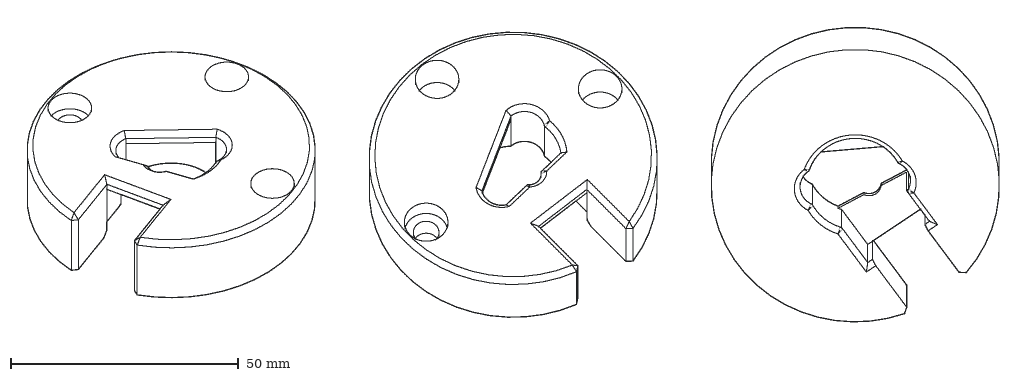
import cadquery as cq
import math

DISC_RADIUS = 31.6
HEIGHT = 16.2
CHAMFER = 1.25

SLOT_WIDTH = 14.05
SLOT_END_Y = -16.5

BORE_DIAMETER = 9.55
BORE_CENTRE_RADIUS = 25.35
SHALLOW_BORE_DEPTH = 4.7
DEEP_BORE_DEPTH = 10.1
PILOT_DIAMETER = 5.6

CAVITY_RADIUS = 10.55
CAVITY_ROOF_Z = 13.4
PASSAGE_WIDTH = SLOT_WIDTH + 2 * CHAMFER
LOBE_RADIUS = 4.4
LOBE_CENTRE_RADIUS = 7.7
LOBE_ANGLE = 30.0
UPPER_EDGE_OFFSET = 3.85
LOWER_EDGE_OFFSET = 6.8
LOWER_EDGE_ANGLE = 6.0
NOTCH_RADIUS = 2.65
NOTCH_CENTRE_Y = -5.25


def cylinder(x, y, radius, height):
    """Upright cylinder standing on Z = 0."""
    return cq.Workplane("XY").center(x, y).circle(radius).extrude(height)


def half_space(angle, offset, side):
    """Block bounded by a line at the given angle; side +1 lies above the line, -1 below it."""
    size = 2 * DISC_RADIUS
    block = cq.Workplane("XY").box(size, size, HEIGHT, centered=(True, True, False))
    return block.translate((0, offset + side * size / 2, 0)).rotate((0, 0, 0), (0, 0, 1), angle)


def channel(width, start_y, end_y, height):
    """Straight block centred on X = 0, between two Y positions."""
    length = end_y - start_y
    return (
        cq.Workplane("XY")
        .center(0, (start_y + end_y) / 2)
        .rect(width, length)
        .extrude(height)
    )


def flared_cutter(profile, mouth_face):
    """Profile solid plus a 45 degree flare that widens it towards the top or bottom of the disc."""
    wire = profile.faces(mouth_face).val().outerWire()
    outline = wire.offset2D(CHAMFER, "intersection")[0]
    inward = -1 if mouth_face == ">Z" else 1
    direction = cq.Vector(0, 0, inward * CHAMFER)
    flare = cq.Solid.extrudeLinear(outline, [], direction, 45)
    return profile.union(cq.Workplane(obj=flare))


def make_disc():
    """Slotted disc with chamfered slot mouth and top outline."""
    disc = cylinder(0, 0, DISC_RADIUS, HEIGHT)
    disc = disc.cut(channel(SLOT_WIDTH, -2 * DISC_RADIUS, SLOT_END_Y, HEIGHT))
    mouth_y = -math.sqrt(DISC_RADIUS**2 - (SLOT_WIDTH / 2) ** 2)
    outline = disc.faces(">Z").edges()
    for side in (-1, 1):
        corner = (side * SLOT_WIDTH / 2, mouth_y, HEIGHT / 2)
        outline = outline.add(disc.edges(cq.selectors.NearestToPointSelector(corner)))
    return outline.chamfer(CHAMFER)


def make_keyhole():
    """Two round lobes and a central disc trimmed by two straight edges, with a round notch below."""
    lobe_x = LOBE_CENTRE_RADIUS * math.cos(math.radians(LOBE_ANGLE))
    lobe_y = LOBE_CENTRE_RADIUS * math.sin(math.radians(LOBE_ANGLE))
    keyhole = cylinder(0, 0, CAVITY_RADIUS, HEIGHT)
    for side in (-1, 1):
        keyhole = keyhole.union(cylinder(side * lobe_x, side * lobe_y, LOBE_RADIUS, HEIGHT))
    keyhole = keyhole.intersect(half_space(LOBE_ANGLE, UPPER_EDGE_OFFSET, -1))
    keyhole = keyhole.intersect(half_space(LOWER_EDGE_ANGLE, -LOWER_EDGE_OFFSET, 1))
    return keyhole.union(cylinder(0, NOTCH_CENTRE_Y, NOTCH_RADIUS, HEIGHT))


def make_cavity(keyhole):
    """Round chamber under the keyhole, joined to the slot and open at the bottom."""
    cavity = cylinder(0, 0, CAVITY_RADIUS, CAVITY_ROOF_Z)
    cavity = cavity.union(channel(PASSAGE_WIDTH, SLOT_END_Y, 0, CAVITY_ROOF_Z))
    lower_keyhole = keyhole.intersect(cylinder(0, 0, DISC_RADIUS, CAVITY_ROOF_Z))
    return cavity.union(lower_keyhole).clean()


def bore(x, y, diameter, depth):
    """Blind bore sunk from the top face."""
    return cylinder(x, y, diameter / 2, depth).translate((0, 0, HEIGHT - depth))


keyhole_profile = make_keyhole()
result = make_disc()
result = result.cut(flared_cutter(keyhole_profile, ">Z"))
result = result.cut(flared_cutter(make_cavity(keyhole_profile), "<Z"))

result = result.cut(bore(-BORE_CENTRE_RADIUS, 0, BORE_DIAMETER, SHALLOW_BORE_DEPTH))
result = result.cut(bore(-BORE_CENTRE_RADIUS, 0, PILOT_DIAMETER, DEEP_BORE_DEPTH))
for bore_x, bore_y in ((BORE_CENTRE_RADIUS, 0), (0, BORE_CENTRE_RADIUS)):
    result = result.cut(bore(bore_x, bore_y, BORE_DIAMETER, DEEP_BORE_DEPTH))